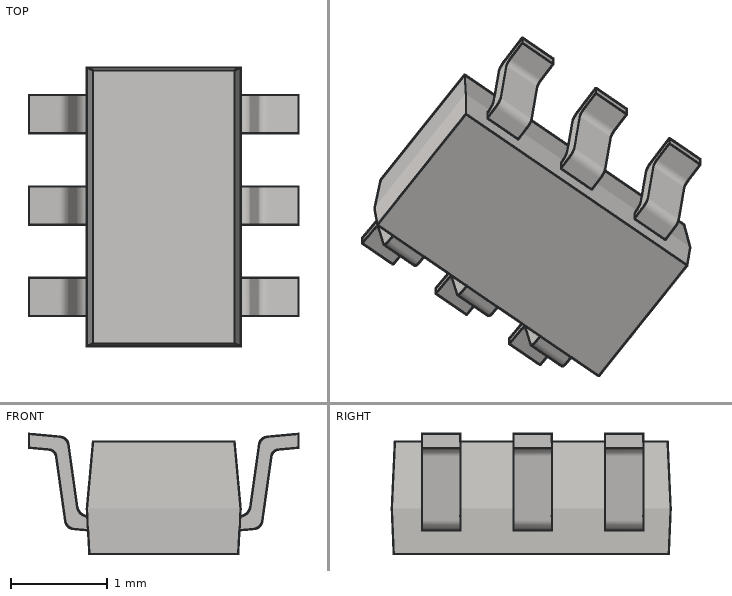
import cadquery as cq
import math

body_width = 1.6
body_length = 2.9
body_height = 1.17
parting_height = 0.47
top_inset_x = 0.064
top_inset_y = 0.032
bottom_inset_x = 0.026
bottom_inset_y = 0.02

overall_width = 2.8
overall_height = 1.25
leads_per_side = 3
lead_pitch = 0.95
lead_width = 0.4
lead_thickness = 0.146
lead_row_shift = 0.014
foot_slope = 5.3
web_lean = 8.0
foot_run = 0.336
web_drop = 0.812
root_x = -0.6
outside_bend_radius = 0.1
upper_inside_radius = 0.08
lower_inside_radius = 0.115


def body_half(inset_x, inset_y, end_height):
    """Tapered block from the parting plane to its smaller end face."""
    end_width = body_width - 2 * inset_x
    end_length = body_length - 2 * inset_y
    return (
        cq.Workplane("XY", origin=(0, 0, parting_height))
        .rect(body_width, body_length)
        .workplane(offset=end_height - parting_height)
        .rect(end_width, end_length)
        .loft(ruled=True, combine=True)
    )


def left_lead(center_y):
    """Z-shaped strip on the -X side, centred on center_y."""
    slope = math.radians(foot_slope)
    lean = math.radians(web_lean)
    half_upright = lead_thickness / 2 / math.cos(slope)

    tip = (-overall_width / 2, overall_height - half_upright)
    upper_bend = (tip[0] + foot_run, tip[1] - foot_run * math.tan(slope))
    lower_bend = (upper_bend[0] + web_drop * math.tan(lean), upper_bend[1] - web_drop)
    root = (root_x, lower_bend[1] - (root_x - lower_bend[0]) * math.tan(slope))

    bend_angle = math.pi / 2 - lean - slope
    mitre_angle = math.pi / 2 - slope - bend_angle / 2
    mitre_length = lead_thickness / 2 / math.cos(bend_angle / 2)
    mitre = (mitre_length * math.cos(mitre_angle), mitre_length * math.sin(mitre_angle))
    upright = (0, half_upright)

    def shifted(point, offset, side):
        return (point[0] + side * offset[0], point[1] + side * offset[1])

    upper_outside = shifted(upper_bend, mitre, 1)
    upper_inside = shifted(upper_bend, mitre, -1)
    lower_inside = shifted(lower_bend, mitre, 1)
    lower_outside = shifted(lower_bend, mitre, -1)
    outline = [
        shifted(tip, upright, 1),
        upper_outside,
        lower_inside,
        shifted(root, upright, 1),
        shifted(root, upright, -1),
        lower_outside,
        upper_inside,
        shifted(tip, upright, -1),
    ]
    lead = (
        cq.Workplane("XZ", origin=(0, center_y + lead_width / 2, 0))
        .polyline(outline)
        .close()
        .extrude(lead_width)
    )
    for corner, radius in (
        (upper_outside, outside_bend_radius),
        (lower_outside, outside_bend_radius),
        (upper_inside, upper_inside_radius),
        (lower_inside, lower_inside_radius),
    ):
        corner_edge = cq.selectors.NearestToPointSelector((corner[0], center_y, corner[1]))
        lead = lead.edges("|Y").edges(corner_edge).fillet(radius)
    return lead


result = body_half(top_inset_x, top_inset_y, body_height)
result = result.union(body_half(bottom_inset_x, bottom_inset_y, 0))
for index in range(leads_per_side):
    lead_y = lead_row_shift + (index - (leads_per_side - 1) / 2) * lead_pitch
    lead = left_lead(lead_y)
    result = result.union(lead).union(lead.mirror("YZ"))